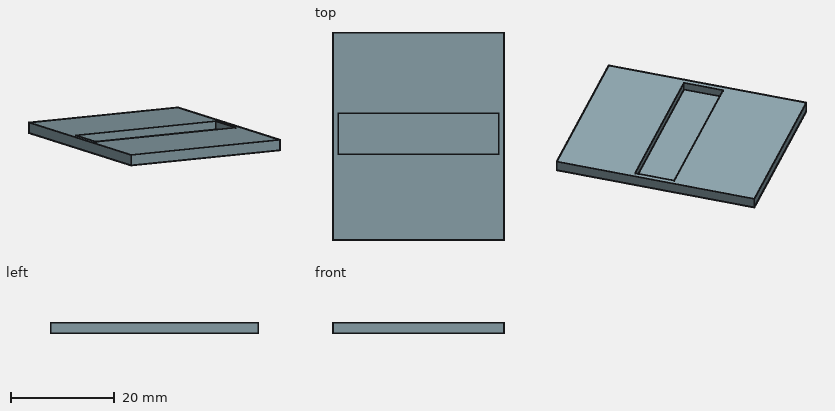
import cadquery as cq

plate_width = 33.0
plate_length = 40
plate_thickness = 2.1

pocket_width = 30.95
pocket_length = 7.9
pocket_left_margin = 1.0
pocket_front_margin = 16.5
pocket_depth = 1.6

plate = cq.Workplane("XY").box(plate_width, plate_length, plate_thickness, centered=False)

pocket = (
    cq.Workplane("XY")
    .box(pocket_width, pocket_length, pocket_depth, centered=False)
    .translate((pocket_left_margin, pocket_front_margin, plate_thickness - pocket_depth))
)

result = plate.cut(pocket)